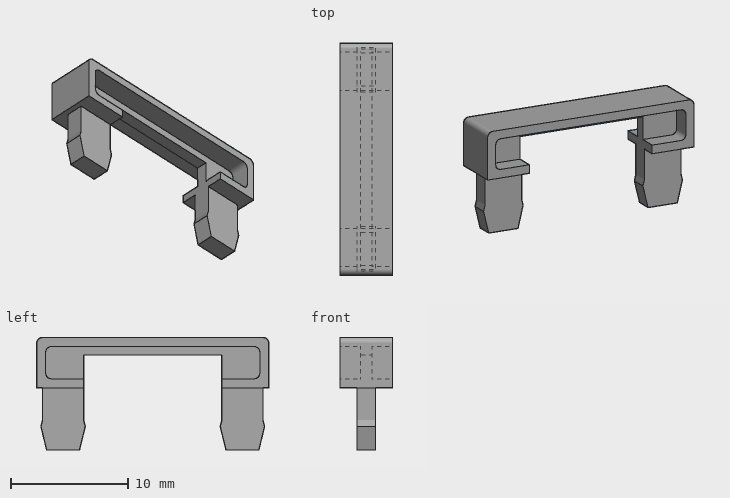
import cadquery as cq

width = 4.5
length = 19.8
height = 9.6

body_height = 4.3
bar_depth = 1.5
end_block = 4.02
corner_radius = 0.5

flange = 0.77
web = 1.0
pocket_radius = 0.5

leg_thickness = 1.6
leg_setback = 0.5
barb_overhang = 0.14
barb_start_depth = 7.05
barb_peak_depth = 7.58
tip_inset = 0.35

body_bottom = -body_height
half_opening = length / 2 - end_block
leg_width = end_block - leg_setback
leg_center = half_opening + leg_width / 2


def box(size_x, size_y, size_z, top):
    """A box centred on X and Y, hanging down from the given height."""
    return cq.Workplane("XY").box(
        size_x, size_y, size_z, centered=(True, True, False)
    ).translate((0, 0, top - size_z))


def make_body():
    body = box(width, length, body_height, 0)
    body = body.edges("|X and >Z").fillet(corner_radius)
    opening_height = body_height - bar_depth
    return body.cut(box(width, 2 * half_opening, opening_height, -bar_depth))


def make_pocket(side):
    """Rounded recess in one X face; side is -1 or 1."""
    depth = (width - web) / 2
    pocket = box(depth, length - 2 * flange, body_height - 2 * flange, -flange)
    pocket = pocket.edges("|X").fillet(pocket_radius)
    return pocket.translate((side * (web + depth) / 2, 0, 0))


def make_leg(center_y):
    """Leg with a barb on both Y sides and a tapered tip."""
    half = leg_width / 2
    right_side = [
        (half, body_bottom),
        (half, -barb_start_depth),
        (half + barb_overhang, -barb_peak_depth),
        (half - tip_inset, -height),
    ]
    left_side = [(-y, z) for y, z in reversed(right_side)]
    leg = cq.Workplane("YZ").polyline(right_side + left_side).close()
    return leg.extrude(leg_thickness / 2, both=True).translate((0, center_y, 0))


result = make_body()
for side in (-1, 1):
    result = result.cut(make_pocket(side))
for side in (-1, 1):
    result = result.union(make_leg(side * leg_center))